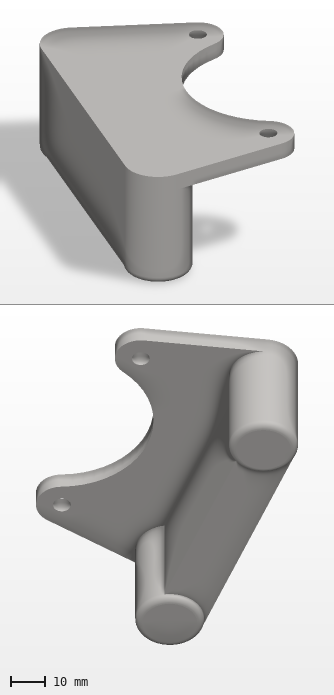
import cadquery as cq
import math

WIDTH = 96.0
DEPTH = 53.1
HEIGHT = 35.0

PLATE_THICKNESS = 5.0
EAR_RADIUS = 7.5
EAR_SPACING = 64.0
HOLE_DIAMETER = 5.2
CUTOUT_RADIUS = 27.0

LEG_RADIUS = 10.0
FOOT_HEIGHT = 2.0
FOOT_FILLET = 2.0
WALL_THICKNESS = 15.0

leg_x = WIDTH / 2 - LEG_RADIUS
front_y = -LEG_RADIUS
ear_x = EAR_SPACING / 2
ear_y = DEPTH - LEG_RADIUS - EAR_RADIUS
plate_bottom = HEIGHT - PLATE_THICKNESS

center_distance = CUTOUT_RADIUS + EAR_RADIUS
cutout_rise = math.sqrt(center_distance**2 - ear_x**2)
cutout_y = ear_y + cutout_rise

ear_offset_x = leg_x - ear_x
side_angle = math.atan2(ear_offset_x, ear_y) + math.asin(
    (LEG_RADIUS - EAR_RADIUS) / math.hypot(ear_offset_x, ear_y)
)


def on_circle(center_x, center_y, radius, angle):
    return (center_x + radius * math.cos(angle), center_y + radius * math.sin(angle))


def mirrored(point):
    return (-point[0], point[1])


def make_plate():
    corner_start = (leg_x, front_y)
    corner_middle = on_circle(leg_x, 0, LEG_RADIUS, (side_angle - math.pi / 2) / 2)
    corner_end = on_circle(leg_x, 0, LEG_RADIUS, side_angle)
    ear_start = on_circle(ear_x, ear_y, EAR_RADIUS, side_angle)
    ear_top = (ear_x, ear_y + EAR_RADIUS)
    ear_end = on_circle(ear_x, ear_y, EAR_RADIUS, math.atan2(cutout_rise, -ear_x))
    cutout_bottom = (0, cutout_y - CUTOUT_RADIUS)

    return (
        cq.Workplane("XY", origin=(0, 0, plate_bottom))
        .moveTo(*corner_start)
        .threePointArc(corner_middle, corner_end)
        .lineTo(*ear_start)
        .threePointArc(ear_top, ear_end)
        .threePointArc(cutout_bottom, mirrored(ear_end))
        .threePointArc(mirrored(ear_top), mirrored(ear_start))
        .lineTo(*mirrored(corner_end))
        .threePointArc(mirrored(corner_middle), mirrored(corner_start))
        .close()
        .extrude(PLATE_THICKNESS)
    )


def make_legs():
    return (
        cq.Workplane("XY")
        .pushPoints([(-leg_x, 0), (leg_x, 0)])
        .circle(LEG_RADIUS)
        .extrude(HEIGHT)
        .faces("<Z")
        .edges()
        .fillet(FOOT_FILLET)
    )


def make_wall():
    return cq.Workplane("XY", origin=(0, front_y, FOOT_HEIGHT)).box(
        2 * leg_x, WALL_THICKNESS, HEIGHT - FOOT_HEIGHT, centered=(True, False, False)
    )


def make_ear_holes():
    return (
        cq.Workplane("XY", origin=(0, 0, plate_bottom))
        .pushPoints([(-ear_x, ear_y), (ear_x, ear_y)])
        .circle(HOLE_DIAMETER / 2)
        .extrude(PLATE_THICKNESS)
    )


result = make_plate().union(make_legs()).union(make_wall()).cut(make_ear_holes())